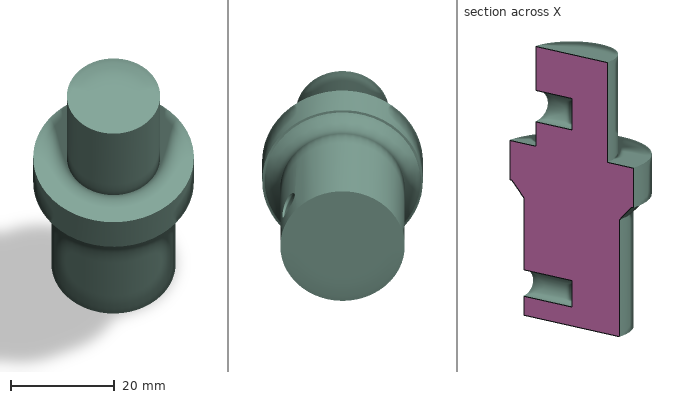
import cadquery as cq

shank_diameter = 24.0
shank_length = 23.5
taper_height = 3.0
flange_diameter = 31.0
flange_thickness = 8.0
pin_diameter = 18.0
pin_length = 20.0

taper_top_diameter = shank_diameter + 2 * taper_height

shank_hole_diameter = 5.2
shank_hole_height = 6.5
pin_hole_diameter = 6.2
pin_hole_above_flange = 8.0

flange_bottom = shank_length + taper_height
flange_top = flange_bottom + flange_thickness
overall_height = flange_top + pin_length


def turned_body():
    """Revolve the stepped half profile about Z."""
    shank_radius = shank_diameter / 2
    taper_top_radius = taper_top_diameter / 2
    flange_radius = flange_diameter / 2
    pin_radius = pin_diameter / 2
    half_profile = [
        (0, 0),
        (shank_radius, 0),
        (shank_radius, shank_length),
        (taper_top_radius, flange_bottom),
        (flange_radius, flange_bottom),
        (flange_radius, flange_top),
        (pin_radius, flange_top),
        (pin_radius, overall_height),
        (0, overall_height),
    ]
    return cq.Workplane("XZ").polyline(half_profile).close().revolve(360, (0, 0), (0, 1))


def cross_hole(hole_diameter, height, section_diameter):
    """Cutter along +Y, from the part's axis to beyond the section's surface."""
    return (
        cq.Workplane("XZ", origin=(0, 0, height))
        .circle(hole_diameter / 2)
        .extrude(-section_diameter)
    )


result = (
    turned_body()
    .cut(cross_hole(shank_hole_diameter, shank_hole_height, shank_diameter))
    .cut(cross_hole(pin_hole_diameter, flange_top + pin_hole_above_flange, pin_diameter))
)